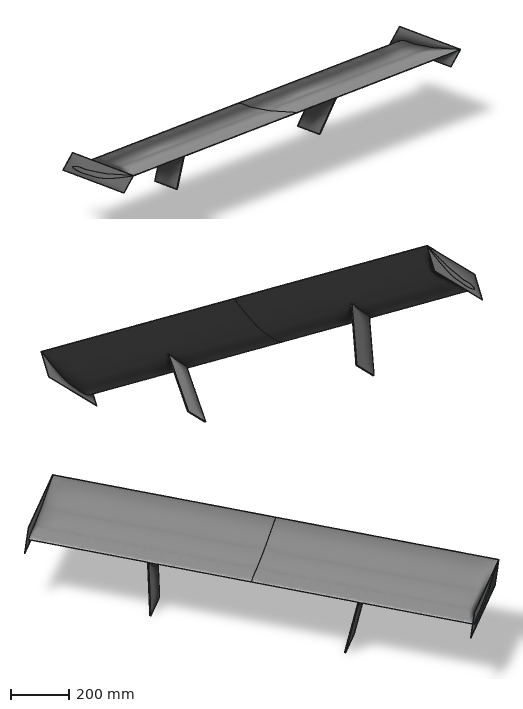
import cadquery as cq

span = 1602.0
total_height = 252.0
total_length = 341.0

plate_thickness = 2.0
plate_bottom_z = 173.0
plate_rake = 46.0

leading_edge = (46.0, 197.0)
trailing_edge_thickness = 2.0
trailing_edge_top = (total_length, total_height)
trailing_edge_bottom = (total_length, total_height - trailing_edge_thickness)
upper_points = [(60.0, 203.0), (107.0, 207.0), (155.0, 211.0), (199.0, 218.0), (275.0, 235.0)]
lower_points = [(60.0, 192.0), (104.0, 189.0), (160.0, 192.0), (221.0, 205.0), (284.0, 227.0)]

strut_chord = 105.0
strut_thickness = 5.0
strut_foot_y = 350.0
strut_lean = 0.16
strut_rake = 0.39
strut_blank_top_z = 200.0


def make_wing_half(side):
    """One half of the wing, from the centre plane to the inner face of an end plate."""
    section_points = [*reversed(upper_points), leading_edge, *lower_points, trailing_edge_bottom]
    return (
        cq.Workplane("XZ")
        .moveTo(*trailing_edge_top)
        .spline(section_points, includeCurrent=True)
        .close()
        .extrude(-side * (span / 2 - plate_thickness))
    )


def make_end_plate(side):
    """A raked plate closing the outer end of a wing half."""
    return (
        cq.Workplane("XZ", origin=(0, side * span / 2, 0))
        .polyline([
            (0, plate_bottom_z),
            (total_length - plate_rake, plate_bottom_z),
            (total_length, total_height),
            (plate_rake, total_height),
        ])
        .close()
        .extrude(side * plate_thickness)
    )


def make_strut(side, wing_half):
    """A raked, leaning strut whose upper end follows the underside of the wing."""
    rise = strut_blank_top_z
    foot = cq.Wire.makePolygon(
        [
            cq.Vector(x, side * y, 0)
            for x, y in [
                (0, strut_foot_y - strut_thickness / 2),
                (strut_chord, strut_foot_y - strut_thickness / 2),
                (strut_chord, strut_foot_y + strut_thickness / 2),
                (0, strut_foot_y + strut_thickness / 2),
            ]
        ],
        close=True,
    )
    top = foot.translate(cq.Vector(strut_rake * rise, side * strut_lean * rise, rise))
    blank = cq.Solid.makeLoft([foot, top], True)
    return cq.Workplane(blank).cut(wing_half)


bodies = []
for side in (-1, 1):
    wing_half = make_wing_half(side)
    end_plate = make_end_plate(side)
    strut = make_strut(side, wing_half)
    for body in (wing_half, end_plate, strut):
        bodies.extend(body.solids().vals())

result = cq.Compound.makeCompound(bodies)